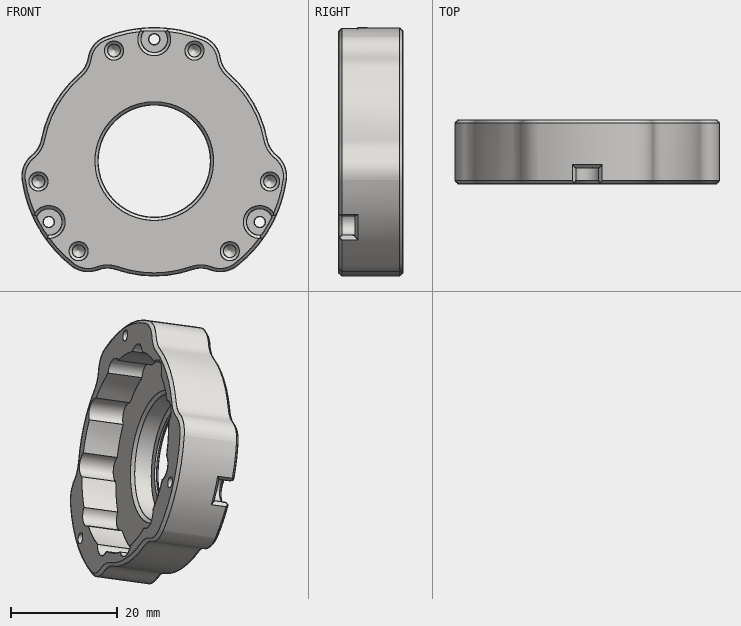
import cadquery as cq
import math

THICKNESS = 12.0
LOBE_RADIUS = 25.0
RING_RADIUS = 21.5
BLEND_RADIUS = 5.0
LOBE_HALF_ANGLE = 21.8
LOBE_SPACING = 120
LOBE_ANGLES = [90 + i * LOBE_SPACING for i in range(3)]
CHAMFER = 0.6

BORE_RADIUS = 10.5
BORE_LIP = 1.0
SEAT_RADIUS = 12.0
PLATE_THICKNESS = 5.0

CAVITY_RADIUS = 19.1
SCALLOP_COUNT = 11
SCALLOP_RADIUS = 2.55
SCALLOP_CENTRE_RADIUS = 17.85
FIRST_SCALLOP_ANGLE = -90

NOTCH_RADIUS = 2.5
NOTCH_DEPTH = 3.02
NOTCH_CENTRE_RADIUS = 22.8
NOTCH_HOLE_DIAMETER = 2.05
NOTCH_MOUTH_WIDTH = 5.85

SCREW_RADIUS = 1.2
SCREW_DEPTH = 6.0
SCREW_CENTRE_RADIUS = 22.0
SCREW_OFFSET_ANGLE = 20
DRILL_POINT_ANGLE = 90


def polar(radius, angle):
    """Point in the XZ plane at an angle in degrees from +X."""
    return radius * math.cos(math.radians(angle)), radius * math.sin(math.radians(angle))


def between(start, end, fraction):
    """Point at a fraction of the way from start to end."""
    return tuple(a + fraction * (b - a) for a, b in zip(start, end))


def point_towards(centre, target, radius):
    """Point at a radius from the centre, in the direction of the target."""
    return between(centre, target, radius / math.dist(centre, target))


def section(depth):
    """Workplane at a depth behind the front face; negative extrusions run towards +Y."""
    return cq.Workplane("XZ", origin=(0, depth, 0))


def cylinder(radius, start, end, centre=(0, 0)):
    """Cylinder along +Y between two depths."""
    return section(start).center(*centre).circle(radius).extrude(start - end)


def cone(front_radius, back_radius, start, end, centre=(0, 0)):
    """Cone along +Y between two depths."""
    base = cq.Vector(centre[0], start, centre[1])
    solid = cq.Solid.makeCone(front_radius, back_radius, end - start, base, cq.Vector(0, 1, 0))
    return cq.Workplane(solid)


def body():
    """Lobed plate; convex and concave blends of equal radius join each lobe to the ring."""
    convex_radius = LOBE_RADIUS - BLEND_RADIUS
    concave_radius = RING_RADIUS + BLEND_RADIUS
    cos_step = (convex_radius**2 + concave_radius**2 - (2 * BLEND_RADIUS) ** 2) / (
        2 * convex_radius * concave_radius
    )
    ring_angle = LOBE_HALF_ANGLE + math.degrees(math.acos(cos_step))

    def blend(lobe, side):
        """Points from the lobe arc to the ring arc on one side of a lobe."""
        lobe_end_angle = lobe + side * LOBE_HALF_ANGLE
        ring_end_angle = lobe + side * ring_angle
        convex = polar(convex_radius, lobe_end_angle)
        concave = polar(concave_radius, ring_end_angle)
        lobe_end = polar(LOBE_RADIUS, lobe_end_angle)
        ring_end = polar(RING_RADIUS, ring_end_angle)
        middle = between(convex, concave, 0.5)
        convex_mid = point_towards(convex, between(lobe_end, middle, 0.5), BLEND_RADIUS)
        concave_mid = point_towards(concave, between(middle, ring_end, 0.5), BLEND_RADIUS)
        return [lobe_end, convex_mid, middle, concave_mid, ring_end]

    outline = section(0).moveTo(*blend(LOBE_ANGLES[0], -1)[0])
    for lobe in LOBE_ANGLES:
        lobe_end, convex_mid, middle, concave_mid, ring_end = blend(lobe, 1)
        next_ring_end, next_concave_mid, next_middle, next_convex_mid, next_lobe_end = reversed(
            blend(lobe + LOBE_SPACING, -1)
        )
        outline = (
            outline.threePointArc(polar(LOBE_RADIUS, lobe), lobe_end)
            .threePointArc(convex_mid, middle)
            .threePointArc(concave_mid, ring_end)
            .threePointArc(polar(RING_RADIUS, lobe + LOBE_SPACING / 2), next_ring_end)
            .threePointArc(next_concave_mid, next_middle)
            .threePointArc(next_convex_mid, next_lobe_end)
        )
    return outline.close().extrude(-THICKNESS).faces("<Y or >Y").chamfer(CHAMFER)


def opening():
    """Chamfered bore, its wider seat with a chamfered rear edge, and the scalloped cavity open to the back."""
    cut = cylinder(BORE_RADIUS, 0, PLATE_THICKNESS)
    cut = cut.union(cone(BORE_RADIUS + CHAMFER, BORE_RADIUS, 0, CHAMFER))
    cut = cut.union(cylinder(SEAT_RADIUS, BORE_LIP, PLATE_THICKNESS))
    seat_edge = cone(SEAT_RADIUS, SEAT_RADIUS + CHAMFER, PLATE_THICKNESS - CHAMFER, PLATE_THICKNESS)
    cut = cut.union(seat_edge)
    cut = cut.union(cylinder(CAVITY_RADIUS, PLATE_THICKNESS, THICKNESS))
    for i in range(SCALLOP_COUNT):
        centre = polar(SCALLOP_CENTRE_RADIUS, FIRST_SCALLOP_ANGLE + i * 360 / SCALLOP_COUNT)
        cut = cut.union(cylinder(SCALLOP_RADIUS, PLATE_THICKNESS, THICKNESS, centre))
    return cut


def notch(lobe):
    """Round pocket breaking out of the lobe, bevelled at its rim and at its mouth."""
    centre = polar(NOTCH_CENTRE_RADIUS, 90)
    cut = cylinder(NOTCH_RADIUS, 0, NOTCH_DEPTH, centre)
    cut = cut.union(cone(NOTCH_RADIUS + CHAMFER, NOTCH_RADIUS, 0, CHAMFER, centre))
    cut = cut.union(cylinder(NOTCH_HOLE_DIAMETER / 2, 0, THICKNESS, centre))
    outer = LOBE_RADIUS + CHAMFER
    inner = LOBE_RADIUS - 2 * CHAMFER
    outer_half_width = NOTCH_MOUTH_WIDTH / 2 + CHAMFER
    inner_half_width = NOTCH_MOUTH_WIDTH / 2 - 2 * CHAMFER
    mouth_plan = [
        (-inner_half_width, inner),
        (inner_half_width, inner),
        (outer_half_width, outer),
        (-outer_half_width, outer),
    ]
    mouth_depth = NOTCH_DEPTH + 2 * CHAMFER
    floor_bevel = cone(outer - mouth_depth, outer, 0, mouth_depth)
    mouth = section(0).polyline(mouth_plan).close().extrude(-mouth_depth).cut(floor_bevel)
    return cut.union(mouth).rotate((0, 0, 0), (0, 1, 0), 90 - lobe)


def screw_hole(angle):
    """Blind hole with a countersunk rim and a drill point."""
    centre = polar(SCREW_CENTRE_RADIUS, angle)
    point_length = SCREW_RADIUS / math.tan(math.radians(DRILL_POINT_ANGLE / 2))
    cut = cylinder(SCREW_RADIUS, 0, SCREW_DEPTH, centre)
    cut = cut.union(cone(SCREW_RADIUS + CHAMFER, SCREW_RADIUS, 0, CHAMFER, centre))
    return cut.union(cone(SCREW_RADIUS, 0, SCREW_DEPTH, SCREW_DEPTH + point_length, centre))


result = body().cut(opening())
for lobe_angle in LOBE_ANGLES:
    result = result.cut(notch(lobe_angle))
    for side in (-1, 1):
        result = result.cut(screw_hole(lobe_angle + side * SCREW_OFFSET_ANGLE))